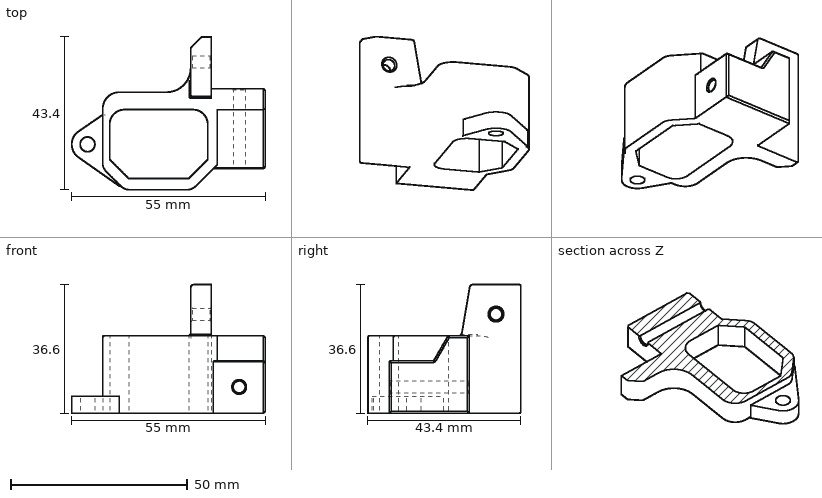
import cadquery as cq
import math

body_left = 8.8
body_right = 41.3
body_depth = 27.75
body_height = 22.05
left_bevel = 6.2
right_bevel = 7.15
bevel_blend = 3.5
back_corner_radius = 4.7
edge_round = 0.55

opening_left = 10.8
opening_right = 38.55
opening_front = 3.25
opening_back = 22.75
opening_bevel = 5.4
opening_radius = 4.1

post_left = 33.75
post_right = 39.65
post_back = 43.4
post_height = 36.55
post_bevel = 3.15
post_front_at_body_top = 26.5
post_front_at_top = 28.95
post_side_round = 0.8
post_top_round = 1.0
post_blend = 6.8
skirt_size = 0.45
skirt_length = 4.95
skirt_slope_share = 0.95

block_right = 54.95
block_front = 6.0
block_back = 28.75
step_height = 14.9
slope_angle = 60.0
step_round = 0.75
block_front_round = 0.35

tab_radius = 4.5
tab_center_y = 12.9
tab_thickness = 4.9
tab_back = 21.3
tab_front_x = 13.45
tab_front_y = 1.1

tab_hole_diameter = 4.1
block_hole_diameter = 3.4
block_rim_diameter = 4.1
block_hole_x = 47.5
block_hole_z = 7.45
post_hole_diameter = 3.4
post_rim_diameter = 4.4
post_hole_y = 36.3
post_hole_z = 28.15


def tangent_point(px, py):
    """Point where a line from (px, py) touches the rounded tab tip."""
    dx = px - tab_radius
    dy = py - tab_center_y
    swing = math.acos(tab_radius / math.hypot(dx, dy))
    angle = math.atan2(dy, dx) + math.copysign(swing, dy)
    return (
        tab_radius + tab_radius * math.cos(angle),
        tab_center_y + tab_radius * math.sin(angle),
    )


def make_body():
    arc_start_x = post_left - post_blend
    arc_end_y = body_depth + post_blend
    mid_offset = post_blend * math.sqrt(0.5)
    body = (
        cq.Workplane("XY")
        .moveTo(body_left + left_bevel, 0)
        .lineTo(body_right - right_bevel, 0)
        .lineTo(body_right, right_bevel)
        .lineTo(body_right, opening_back)
        .lineTo(post_right, block_back)
        .lineTo(post_right, arc_end_y)
        .lineTo(post_left, arc_end_y)
        .threePointArc((arc_start_x + mid_offset, arc_end_y - mid_offset), (arc_start_x, body_depth))
        .lineTo(body_left, body_depth)
        .lineTo(body_left, left_bevel)
        .close()
        .extrude(body_height)
    )
    reach = 0.05
    front_corners = cq.selectors.BoxSelector(
        (body_left - reach, -reach, 0), (body_right - right_bevel + reach, left_bevel + reach, body_height)
    )
    back_corner = cq.selectors.BoxSelector(
        (body_left - reach, body_depth - reach, 0), (body_left + reach, body_depth + reach, body_height)
    )
    body = body.edges("|Z").edges(front_corners).fillet(bevel_blend)
    body = body.edges("|Z").edges(back_corner).fillet(back_corner_radius)

    body = body.faces(">Z").edges("<Y").fillet(edge_round)

    front_part = body.intersect(
        cq.Workplane("XY").box(block_right, tab_center_y, body_height, centered=False)
    )
    rounded = body.faces("<Z").edges("<Y").fillet(edge_round)
    return rounded.union(front_part)


def make_post():
    lean = (post_front_at_top - post_front_at_body_top) / (post_height - body_height)
    post_front_at_base = post_front_at_body_top - lean * body_height
    post = (
        cq.Workplane("YZ", origin=(post_left, 0, 0))
        .moveTo(post_front_at_base, 0)
        .lineTo(post_back, 0)
        .lineTo(post_back, post_height)
        .lineTo(post_front_at_top, post_height)
        .close()
        .extrude(post_right - post_left)
    )
    post = post.edges("<X and >Y").chamfer(post_bevel)
    post = post.faces("<X").edges("|Z and >Y").fillet(post_side_round)
    post = post.faces(">Z").edges("not (>X or >Y)").fillet(post_top_round)
    post = post.faces("<X").edges("<Y").fillet(edge_round)
    post = post.faces(">Z").edges(">Y").fillet(edge_round)
    return post.faces("<Z").edges("not (>X or <Y)").fillet(edge_round)


def make_skirt():
    """Small sloped skirt where the post rises from the body."""
    skirt_left = post_left - skirt_size
    skirt_front = post_front_at_body_top - skirt_size
    return (
        cq.Workplane("XY", origin=(skirt_left, skirt_front, body_height))
        .box(post_right - skirt_left, skirt_length, skirt_size, centered=False)
        .edges("|Z and <X and <Y")
        .fillet(edge_round)
        .faces(">Z")
        .edges("<Y")
        .chamfer(skirt_size * skirt_slope_share)
    )


def make_block():
    slope_run = (body_height - step_height) / math.tan(math.radians(slope_angle))
    slope_foot = opening_back - slope_run
    block = (
        cq.Workplane("YZ", origin=(post_right, 0, 0))
        .moveTo(block_front, 0)
        .lineTo(block_back, 0)
        .lineTo(block_back, body_height)
        .lineTo(opening_back, body_height)
        .lineTo(slope_foot, step_height)
        .lineTo(block_front, step_height)
        .close()
        .extrude(block_right - post_right)
    )
    inner_corner = cq.selectors.NearestToPointSelector(
        ((post_right + block_right) / 2, slope_foot, step_height)
    )
    block = block.edges("|X").edges(inner_corner).fillet(step_round)
    front_top = cq.selectors.NearestToPointSelector(
        ((post_right + block_right) / 2, block_front, step_height)
    )
    block = block.edges("|X").edges(front_top).chamfer(block_front_round)
    return block.faces(">X").edges().chamfer(edge_round)


def make_tab():
    return (
        cq.Workplane("XY")
        .moveTo(tab_front_x, tab_front_y)
        .lineTo(tab_front_x, tab_center_y)
        .lineTo(body_left + edge_round, tab_back)
        .lineTo(body_left, tab_back)
        .lineTo(*tangent_point(body_left, tab_back))
        .threePointArc((0, tab_center_y), tangent_point(tab_front_x, tab_front_y))
        .close()
        .extrude(tab_thickness)
    )


def make_opening():
    width = opening_right - opening_left
    depth = opening_back - opening_front
    return (
        cq.Workplane("XY", origin=(opening_left, opening_front, 0))
        .box(width, depth, body_height, centered=False)
        .edges("|Z and >Y")
        .fillet(opening_radius)
        .edges("|Z and <Y")
        .chamfer(opening_bevel)
    )


def make_screw_hole(start, direction, length, hole_diameter, rim_diameter):
    """Through hole with a 45 degree bevel at both rims."""
    rim_radius = rim_diameter / 2
    hole_radius = hole_diameter / 2
    bevel = rim_radius - hole_radius
    profile = (
        cq.Workplane("XY")
        .polyline(
            [
                (0, 0),
                (rim_radius, 0),
                (hole_radius, bevel),
                (hole_radius, length - bevel),
                (rim_radius, length),
                (0, length),
            ]
        )
        .close()
    )
    hole = profile.revolve(360, (0, 0, 0), (0, 1, 0))
    if direction == "X":
        hole = hole.rotate((0, 0, 0), (0, 0, 1), -90)
    return hole.translate(start)


tab_hole = (
    cq.Workplane("XY")
    .center(tab_radius, tab_center_y)
    .circle(tab_hole_diameter / 2)
    .extrude(tab_thickness)
)
block_hole = make_screw_hole(
    (block_hole_x, block_front, block_hole_z),
    "Y",
    block_back - block_front,
    block_hole_diameter,
    block_rim_diameter,
)
post_hole = make_screw_hole(
    (post_left, post_hole_y, post_hole_z),
    "X",
    post_right - post_left,
    post_hole_diameter,
    post_rim_diameter,
)

result = (
    make_body()
    .union(make_post())
    .union(make_skirt())
    .union(make_block())
    .union(make_tab())
    .cut(make_opening())
    .cut(tab_hole)
    .cut(block_hole)
    .cut(post_hole)
)